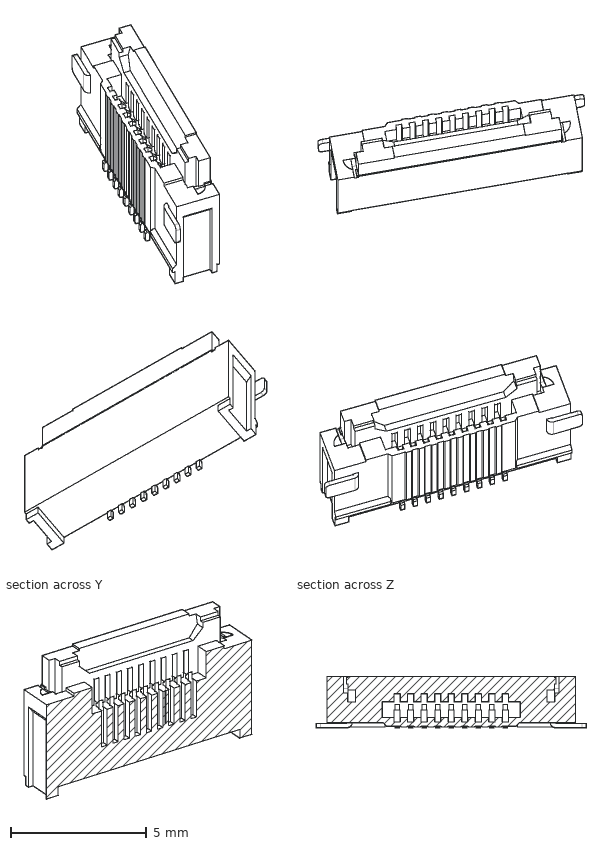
import cadquery as cq
import math


contact_count = 9
contact_pitch = 0.5
contact_xs = [(i - (contact_count - 1) / 2) * contact_pitch for i in range(contact_count)]

housing_half = 4.6
housing_back = 1.91
housing_front = 0.19
housing_bottom = 0.39
housing_top = 3.98

skirt_front = 0.13
ledge_front = 0.03
ledge_bottom = 0.64
ledge_top = 0.84
ledge_slope_top = 1.0
ledge_inner = 2.45
panel_face = 0.06
panel_half_face = 2.4
panel_half_root = 2.52
ridge_face = ledge_front
ridge_half_root = 0.14
ridge_half_tip = 0.1
rim_half = 3.37
rim_top = 4.1

foot_half_span = 4.06
foot_bottom = 0.03
foot_back = 1.81

side_pocket_front = 0.46
side_pocket_back = 1.61
side_pocket_depth = 0.2
side_pocket_top = 3.38
side_pocket_slope_bottom = 3.13

cover_half = 3.82
cover_back = 1.87
cover_shoulder = 1.4
cover_front = 0.96
cover_neck_half = 3.55
cover_top = 5.19
cover_crest = 5.27
crest_half = 2.46
cover_step_y = 1.11
cover_step_z = 5.03
corner_gap_depth = 0.6

lead_half_top = 2.76
lead_half_floor = 2.32
lead_corner_z = 4.81
lead_floor = 4.4
lead_floor_back = 1.22
lead_back = 1.43

cavity_half = 2.55
cavity_front = 0.39
cavity_floor = 3.0
groove_width = 0.22
groove_front = 0.22
groove_back = 0.67
groove_floor = 1.5
rear_groove_depth = 0.3
rear_groove_top = 4.08
contact_width = 0.17
contact_back = 0.87
contact_low = 3.1
contact_high = 3.3

pin_width = 0.16
pin_depth = 0.17
pin_top = 0.45
pin_tip_chamfer = 0.04
pin_top_chamfer = 0.06

tab_half_span = 5.0
tab_bend_outer = 3.87
tab_bend_radius = 0.21
tab_thickness = 0.17
tab_bottom = 2.45
tab_top = 3.34
tab_corner = 0.16
tab_root_y = 0.3

hinge_center_y = 1.18
hinge_radius = 0.45
hinge_depth = 0.02
hinge_strip_half = 3.98
hinge_ramp_back = 1.45
hinge_strip_depth = 0.1
hinge_arm_half = 3.88
hinge_arm_front = 1.62


def block(x0, x1, y0, y1, z0, z1):
    return cq.Workplane("XY").box(x1 - x0, y1 - y0, z1 - z0, centered=False).translate((x0, y0, z0))


def extrude_x(points_yz, x0, x1):
    return cq.Workplane("YZ").polyline(points_yz).close().extrude(x1 - x0).translate((x0, 0, 0))


def both_sides(shape):
    return shape.union(shape.mirror("YZ"))


def make_housing():
    profile = [
        (skirt_front, housing_bottom),
        (skirt_front, ledge_bottom),
        (ledge_front, ledge_bottom),
        (ledge_front, ledge_top),
        (housing_front, ledge_slope_top),
        (housing_front, housing_top),
        (housing_back, housing_top),
        (housing_back, housing_bottom),
    ]
    body = extrude_x(profile, -housing_half, housing_half)
    body = body.cut(block(-ledge_inner, ledge_inner, 0, housing_front, ledge_bottom, rim_top))
    rim = block(-rim_half, rim_half, housing_front, cover_front, ledge_bottom, rim_top)
    foot = block(foot_half_span, housing_half, skirt_front, foot_back, foot_bottom, housing_bottom)
    return body.union(rim).union(both_sides(foot))


def make_fluted_panel():
    points = [(-panel_half_root, housing_front), (-panel_half_face, panel_face)]
    for x in contact_xs[:-1]:
        center = x + contact_pitch / 2
        points += [
            (center - ridge_half_root, panel_face),
            (center - ridge_half_tip, ridge_face),
            (center + ridge_half_tip, ridge_face),
            (center + ridge_half_root, panel_face),
        ]
    points += [(panel_half_face, panel_face), (panel_half_root, housing_front)]
    panel = cq.Workplane("XY").polyline(points).close().extrude(rim_top - ledge_bottom)
    return panel.translate((0, 0, ledge_bottom))


def make_side_pocket():
    inner = housing_half - side_pocket_depth
    profile = [
        (housing_half, 0),
        (inner, 0),
        (inner, side_pocket_slope_bottom),
        (housing_half, side_pocket_top),
    ]
    depth = side_pocket_back - side_pocket_front
    pocket = cq.Workplane("XZ").polyline(profile).close().extrude(-depth)
    return both_sides(pocket.translate((0, side_pocket_front, 0)))


def make_cover():
    rear = block(-cover_half, cover_half, cover_shoulder, cover_back, housing_top, cover_top)
    neck = block(-cover_neck_half, cover_neck_half, cover_front, cover_shoulder, housing_top, cover_top)
    crest = block(-crest_half, crest_half, cover_shoulder, cover_back, cover_top, cover_crest)
    step = block(-cover_neck_half, cover_neck_half, cover_front, cover_step_y, cover_step_z, cover_top)
    return rear.union(neck).union(crest).cut(step).cut(make_lead_in())


def make_lead_in():
    outline = [
        (-lead_half_top, cover_crest),
        (-lead_half_top, lead_corner_z),
        (-lead_half_floor, lead_floor),
        (lead_half_floor, lead_floor),
        (lead_half_top, lead_corner_z),
        (lead_half_top, cover_crest),
    ]
    opening = cq.Workplane("XZ").polyline(outline).close().extrude(-lead_back)
    sloping_back = [
        (0, lead_floor),
        (lead_floor_back, lead_floor),
        (lead_back, cover_crest),
        (0, cover_crest),
    ]
    return opening.intersect(extrude_x(sloping_back, -lead_half_top, lead_half_top))


def make_cavity():
    cavity = block(-cavity_half, cavity_half, cavity_front, cover_front, cavity_floor, rim_top)
    half = groove_width / 2
    rear_end = cover_front + rear_groove_depth
    for x in contact_xs:
        front_groove = block(x - half, x + half, groove_front, groove_back, groove_floor, rim_top)
        rear_groove = block(x - half, x + half, cover_front, rear_end, cavity_floor, rear_groove_top)
        cavity = cavity.union(front_groove).union(rear_groove)
    return cavity


def make_contact(x):
    profile = [
        (groove_back, cavity_floor),
        (groove_back, contact_high),
        (contact_back, contact_low),
        (contact_back, cavity_floor),
    ]
    return extrude_x(profile, x - contact_width / 2, x + contact_width / 2)


def make_pin(x):
    pin = block(x - pin_width / 2, x + pin_width / 2, 0, pin_depth, 0, pin_top)
    pin = pin.faces("<Y").edges("<Z").chamfer(pin_tip_chamfer)
    return pin.faces("<Y").edges(">Z").chamfer(pin_top_chamfer)


def make_tabs():
    bend_inner = tab_bend_outer - tab_bend_radius
    mid = tab_bend_radius * math.sqrt(0.5)
    tab = (
        cq.Workplane("XY")
        .moveTo(tab_half_span, 0)
        .lineTo(tab_bend_outer, 0)
        .threePointArc(
            (tab_bend_outer - mid, tab_bend_radius - mid),
            (bend_inner, tab_bend_radius),
        )
        .lineTo(bend_inner, tab_root_y)
        .lineTo(tab_bend_outer, tab_root_y)
        .lineTo(tab_bend_outer, tab_thickness)
        .lineTo(tab_half_span, tab_thickness)
        .close()
        .extrude(tab_top - tab_bottom)
        .translate((0, 0, tab_bottom))
    )
    return both_sides(tab.faces(">X").edges("|Y").fillet(tab_corner))


def make_hinge_clearance():
    sweep = cq.Workplane("XY").center(cover_half, hinge_center_y).circle(hinge_radius).extrude(-hinge_depth)
    sweep = sweep.translate((0, 0, housing_top))
    quadrant = block(cover_half, housing_half, hinge_center_y, housing_back, 0, cover_top)
    seat = sweep.intersect(quadrant)
    strip_floor = housing_top - hinge_strip_depth
    strip_profile = [
        (hinge_center_y, housing_top),
        (hinge_center_y, housing_top - hinge_depth),
        (hinge_ramp_back, strip_floor),
        (housing_back, strip_floor),
        (housing_back, housing_top),
    ]
    strip = extrude_x(strip_profile, cover_half, hinge_strip_half)
    arm = block(cover_half, hinge_arm_half, hinge_arm_front, cover_back, strip_floor, housing_top)
    gap_floor = housing_top - corner_gap_depth
    gap = block(cover_neck_half, cover_half, cover_front, cover_shoulder, gap_floor, housing_top)
    return both_sides(seat.union(strip).cut(arm).union(gap))


result = make_housing().union(make_fluted_panel()).union(make_cover())
result = result.cut(make_side_pocket()).cut(make_cavity()).cut(make_hinge_clearance())
for contact_x in contact_xs:
    result = result.union(make_contact(contact_x)).union(make_pin(contact_x))
result = result.union(make_tabs())